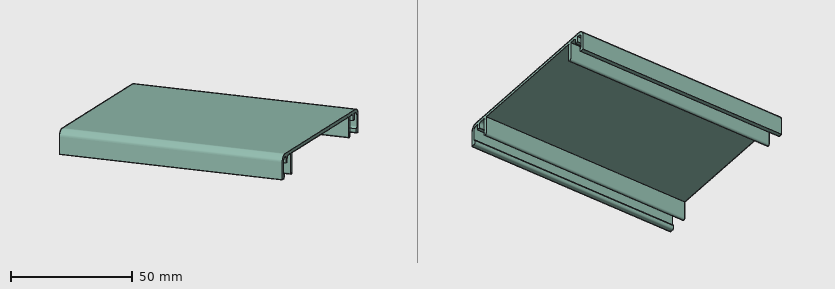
import cadquery as cq

length = 100.0
width = 80.0
height = 10.5
half_width = width / 2

wall = 1.5
outer_radius = 3.0
inner_radius = outer_radius - wall

lip_reach = 0.8
lip_height = 2.0
lip_edge_radius = 0.8

short_rib_thickness = 1.5
short_rib_offset = 3.9
short_rib_bottom = height - 4.2
short_rib_root_radius = 1.0
long_rib_offset = 8.8
long_rib_thickness = 1.6
long_rib_tip_radius = 0.79

plate_underside = height - wall


def box(y_min, y_max, z_min, z_max):
    """Full-length bar with the given rectangular YZ section."""
    bar = cq.Workplane("XY").box(length, y_max - y_min, z_max - z_min, centered=(True, False, False))
    return bar.translate((0, y_min, z_min))


def make_shell():
    """Plate and two side walls with concentric rounded corners."""
    outer = box(-half_width, half_width, 0, height).edges("|X and >Z").fillet(outer_radius)
    inner_half = half_width - wall
    cavity = box(-inner_half, inner_half, 0, plate_underside).edges("|X and >Z").fillet(inner_radius)
    return outer.cut(cavity)


def make_lip():
    """Lip inside the +Y wall, blended into the wall by a concave quarter round."""
    wall_face = half_width - wall
    lip_face = wall_face - lip_reach
    blend_top = lip_height + lip_reach
    mid_offset = lip_reach * 0.5**0.5
    profile = (
        cq.Workplane("YZ", origin=(-length / 2, 0, 0))
        .moveTo(half_width - wall / 2, 0)
        .lineTo(lip_face, 0)
        .lineTo(lip_face, lip_height)
        .threePointArc((lip_face + mid_offset, blend_top - mid_offset), (wall_face, blend_top))
        .lineTo(half_width - wall / 2, blend_top)
        .close()
    )
    return profile.extrude(length).edges("|X and <Y and <Z").fillet(lip_edge_radius)


def make_short_rib():
    """Short +Y rib with a concave root blend on its inner side."""
    outer_face = half_width - short_rib_offset
    inner_face = outer_face - short_rib_thickness
    rib = box(inner_face, outer_face, short_rib_bottom, height - wall / 2)
    radius = short_rib_root_radius
    blend = box(inner_face - radius, inner_face, plate_underside - radius, plate_underside)
    hollow = (
        cq.Workplane("YZ", origin=(-length / 2, inner_face - radius, plate_underside - radius))
        .circle(radius)
        .extrude(length)
    )
    return rib.union(blend.cut(hollow))


def make_long_rib():
    """Full-height +Y rib with a rounded tip."""
    outer_face = half_width - long_rib_offset
    rib = box(outer_face - long_rib_thickness, outer_face, 0, height - wall / 2)
    return rib.edges("|X and <Z").fillet(long_rib_tip_radius)


result = make_shell()
for detail in (make_lip(), make_short_rib(), make_long_rib()):
    result = result.union(detail).union(detail.mirror("XZ"))